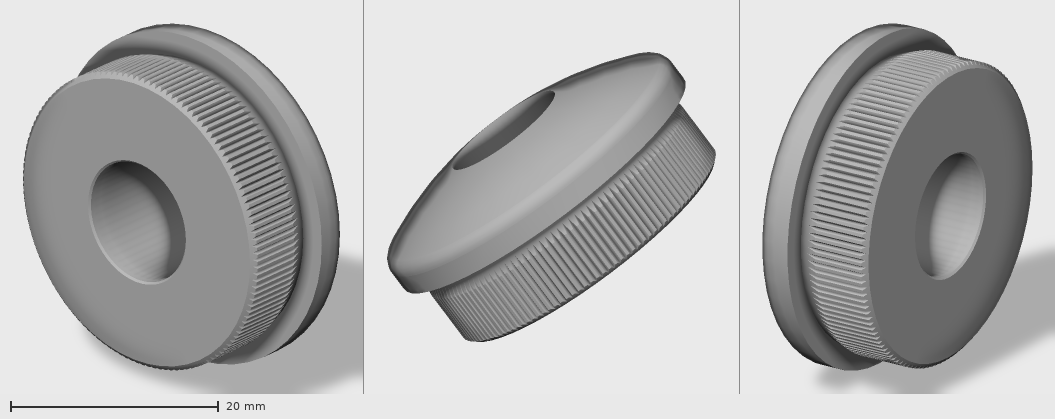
import cadquery as cq
import math

PLUG_LENGTH = 7.8
TOTAL_LENGTH = 14.44
KNURL_END = 5.8

FLANGE_RADIUS = 33.7 / 2
DOME_RADIUS = 36.0
RIM_FILLET_RADIUS = 1.5
KNURL_RADIUS = 15.1
NECK_RADIUS = 14.47
BORE_RADIUS = 6.1

PLUG_CHAMFER_WIDTH = 0.55
PLUG_CHAMFER_LENGTH = 0.5
BORE_CHAMFER = 0.2

GROOVE_COUNT = 130
GROOVE_DEPTH = 0.33
GROOVE_ANGLE = 65.0
GROOVE_END = 7.3
GROOVE_OVERSHOOT = 0.3


def make_turned_body():
    """Plug, flange and domed cap as one revolved half section with the bore left open."""
    dome_center_y = TOTAL_LENGTH - math.sqrt(DOME_RADIUS**2 - BORE_RADIUS**2)

    fillet_center_x = FLANGE_RADIUS - RIM_FILLET_RADIUS
    center_distance = DOME_RADIUS - RIM_FILLET_RADIUS
    fillet_center_y = dome_center_y + math.sqrt(center_distance**2 - fillet_center_x**2)
    rim_angle = math.atan2(fillet_center_y - dome_center_y, fillet_center_x)
    bore_angle = math.acos(BORE_RADIUS / DOME_RADIUS)

    def dome_point(angle):
        return (DOME_RADIUS * math.cos(angle), dome_center_y + DOME_RADIUS * math.sin(angle))

    def fillet_point(angle):
        return (
            fillet_center_x + RIM_FILLET_RADIUS * math.cos(angle),
            fillet_center_y + RIM_FILLET_RADIUS * math.sin(angle),
        )

    return (
        cq.Workplane("XY")
        .moveTo(BORE_RADIUS + BORE_CHAMFER, 0)
        .lineTo(KNURL_RADIUS - PLUG_CHAMFER_WIDTH, 0)
        .lineTo(KNURL_RADIUS, PLUG_CHAMFER_LENGTH)
        .lineTo(KNURL_RADIUS, KNURL_END)
        .lineTo(NECK_RADIUS, PLUG_LENGTH)
        .lineTo(FLANGE_RADIUS, PLUG_LENGTH)
        .lineTo(*fillet_point(0))
        .threePointArc(fillet_point(rim_angle / 2), fillet_point(rim_angle))
        .threePointArc(dome_point((rim_angle + bore_angle) / 2), dome_point(bore_angle))
        .lineTo(BORE_RADIUS, BORE_CHAMFER)
        .close()
        .revolve(360, (0, 0, 0), (0, 1, 0))
    )


def make_groove_cutters():
    """Triangular prisms, one per groove, reaching from the plain face past the taper run-out."""
    root_radius = KNURL_RADIUS - GROOVE_DEPTH
    outer_radius = KNURL_RADIUS + GROOVE_OVERSHOOT
    half_width = (outer_radius - root_radius) * math.tan(math.radians(GROOVE_ANGLE / 2))
    cutter = (
        cq.Workplane("XZ")
        .moveTo(0, root_radius)
        .lineTo(half_width, outer_radius)
        .lineTo(-half_width, outer_radius)
        .close()
        .extrude(-GROOVE_END)
        .val()
    )
    pitch_angle = 360 / GROOVE_COUNT
    return [
        cutter.rotate(cq.Vector(0, 0, 0), cq.Vector(0, 1, 0), index * pitch_angle)
        for index in range(GROOVE_COUNT)
    ]


def cut_knurling(body):
    return cq.Workplane("XY").newObject([body.val().cut(*make_groove_cutters())])


result = cut_knurling(make_turned_body())